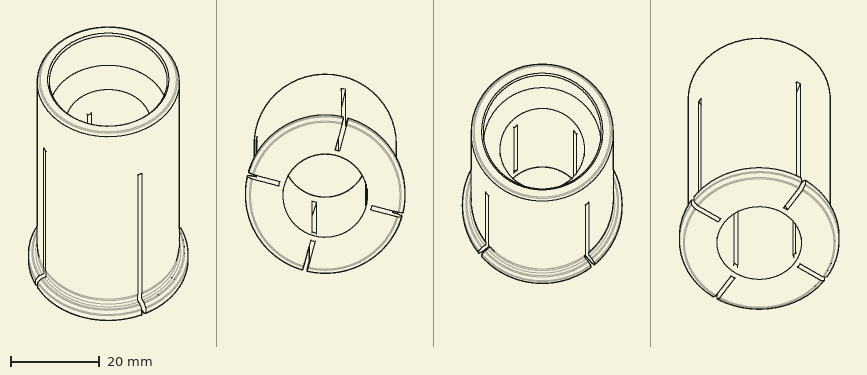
import cadquery as cq
import math

length = 64.0
sleeve_radius = 32.0 / 2
rim_chamfer_width = 0.5
rim_chamfer_height = 0.9
rim_edge_round = 0.3

flange_radius = 36.0 / 2
flange_height = 3.85
flange_top_chamfer = 0.9
flange_bottom_chamfer = 1.0
flange_edge_round = 0.4

groove_depth = 0.1
groove_radius = sleeve_radius - groove_depth
groove_fillet = 0.45
groove_top = 5.6
groove_taper_top = 6.2

bore_radius = 19.0 / 2
socket_radius = 26.5 / 2
socket_chamfer_width = 0.4
socket_chamfer_height = 0.5
seat_top = 53.2
seat_bottom = 49.15

slot_count = 4
slot_width = 1.0
slot_top = 48.0
slot_runout_bottom = 41.6
lip_height = 4.0
lip_angle = 17.0
lip_radius = bore_radius + lip_height * math.tan(math.radians(lip_angle))


def make_sleeve():
    """Revolve the half section of the flanged sleeve, bore included."""
    fillet_middle = groove_fillet * (1 - math.sqrt(0.5))
    return (
        cq.Workplane("XZ")
        .moveTo(bore_radius, 0)
        .lineTo(flange_radius - flange_bottom_chamfer, 0)
        .lineTo(flange_radius, flange_bottom_chamfer)
        .lineTo(flange_radius, flange_height - flange_top_chamfer)
        .lineTo(flange_radius - flange_top_chamfer, flange_height)
        .lineTo(groove_radius + groove_fillet, flange_height)
        .threePointArc(
            (groove_radius + fillet_middle, flange_height + fillet_middle),
            (groove_radius, flange_height + groove_fillet),
        )
        .lineTo(groove_radius, groove_top)
        .lineTo(sleeve_radius, groove_taper_top)
        .lineTo(sleeve_radius, length - rim_chamfer_height)
        .lineTo(sleeve_radius - rim_chamfer_width, length)
        .lineTo(socket_radius + socket_chamfer_width, length)
        .lineTo(socket_radius, length - socket_chamfer_height)
        .lineTo(socket_radius, seat_top)
        .lineTo(bore_radius, seat_bottom)
        .close()
        .revolve(360, (0, 0, 0), (0, 1, 0))
    )


def make_slot(angle):
    """Cutter for one radial slot, turned about the Z axis by the given angle."""
    outer_reach = flange_radius + 0.65
    inner_reach = bore_radius - 0.65
    runout_slope = (slot_top - slot_runout_bottom) / (sleeve_radius - bore_radius)
    lip_slope = lip_height / (lip_radius - bore_radius)
    return (
        cq.Workplane("XZ")
        .moveTo(lip_radius, 0)
        .lineTo(outer_reach, 0)
        .lineTo(outer_reach, slot_top + runout_slope * (outer_reach - sleeve_radius))
        .lineTo(inner_reach, slot_runout_bottom + runout_slope * (inner_reach - bore_radius))
        .lineTo(inner_reach, lip_height + lip_slope * (bore_radius - inner_reach))
        .close()
        .extrude(slot_width / 2, both=True)
        .rotate((0, 0, 0), (0, 0, 1), angle)
    )


def round_circle(body, radius, height, round_radius):
    """Fillet the circular edge about the Z axis that has this radius and height."""
    tolerance = 0.0005

    def is_wanted(edge):
        return (
            edge.geomType() == "CIRCLE"
            and abs(edge.Center().z - height) < tolerance
            and abs(edge.radius() - radius) < tolerance
        )

    return body.edges().filter(is_wanted).fillet(round_radius)


def round_edges(body):
    """Round the four flange chamfer edges and the outer edge of the top rim."""
    flange_edges = (
        (flange_radius - flange_bottom_chamfer, 0),
        (flange_radius, flange_bottom_chamfer),
        (flange_radius, flange_height - flange_top_chamfer),
        (flange_radius - flange_top_chamfer, flange_height),
    )
    for radius, height in flange_edges:
        body = round_circle(body, radius, height, flange_edge_round)
    return round_circle(body, sleeve_radius - rim_chamfer_width, length, rim_edge_round)


result = round_edges(make_sleeve())
for index in range(slot_count):
    result = result.cut(make_slot(index * 360 / slot_count))